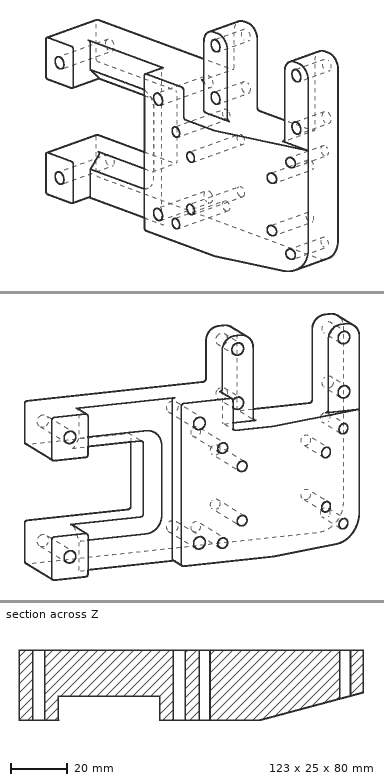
import cadquery as cq
import math


LENGTH = 123.0
BODY_HEIGHT = 60.0
DEPTH = 25.0
EDGE_RADIUS = 1.0
LOWER_CORNER_RADIUS = 10.0

ARM_HEIGHT = 16.0
SLOT_LENGTH = 41.0
SLOT_CORNER_RADIUS = 1.0
SLOT_CHAMFER = 5.0
SLOT_CHAMFER_ANGLE = 45.0

FOOT_LENGTH = 14.0
PLATE_START = 50.0
RECESS_DEPTH = 8.5
RECESS_FLOOR_Y = RECESS_DEPTH - DEPTH

SHOULDER_START = 70.0
SHOULDER_HEIGHT = 48.0
LUG_WIDTH = 12.0
LUG_DEPTH = 15.0
LUG_TOP = 80.0
LUG_RADIUS = 5.0
LUG_STARTS = (SHOULDER_START, LENGTH - LUG_WIDTH)

TAPER_ANGLE = 15.0
TAPER_LENGTH = (DEPTH - LUG_DEPTH) / math.tan(math.radians(TAPER_ANGLE))

MOUNT_HOLE_DIAMETER = 4.5
MOUNT_HOLE_INSET = 7.0
MOUNT_HOLE_PITCH_X = 50.0
MOUNT_HOLE_EDGE_Z = 8.0
LUG_HOLE_HEIGHTS = (55.0, 75.0)

SMALL_HOLE_DIAMETER = 3.8
PATTERN_CENTER = (91.0, 24.5)
PATTERN_SIZES = ((50.0, 35.0), (35.0, 20.0))


def block(x_start, x_end, z_start, z_end, y_front, y_rear=0.0):
    """Axis-aligned box between the given limits."""
    size = (x_end - x_start, y_rear - y_front, z_end - z_start)
    return cq.Workplane("XY").box(*size, centered=False).translate((x_start, y_front, z_start))


def edges_at(part, x, z, y_front, y_rear=0.0):
    """Edges parallel to Y that lie on the line (x, z) within a depth range."""
    margin = 0.01
    selector = cq.selectors.BoxSelector(
        (x - margin, y_front - margin, z - margin),
        (x + margin, y_rear + margin, z + margin),
    )
    return part.edges("|Y").edges(selector)


def make_body():
    """Full-depth body with its upper corner cut down to a shoulder and its outer corners rounded."""
    body = block(0, LENGTH, 0, BODY_HEIGHT, -DEPTH)
    body = body.cut(block(SHOULDER_START, LENGTH, SHOULDER_HEIGHT, BODY_HEIGHT, -DEPTH))
    body = edges_at(body, LENGTH, 0, -DEPTH).fillet(LOWER_CORNER_RADIUS)
    body = edges_at(body, SHOULDER_START, SHOULDER_HEIGHT, -DEPTH).fillet(EDGE_RADIUS)
    for x, z in ((0, 0), (0, BODY_HEIGHT), (SHOULDER_START, BODY_HEIGHT)):
        body = edges_at(body, x, z, -DEPTH).fillet(EDGE_RADIUS)
    return body


def cut_slot(body):
    """Open the slot between the arms."""
    slot_top = BODY_HEIGHT - ARM_HEIGHT
    body = body.cut(block(0, SLOT_LENGTH, ARM_HEIGHT, slot_top, -DEPTH))
    for z in (ARM_HEIGHT, slot_top):
        body = edges_at(body, 0, z, -DEPTH).fillet(EDGE_RADIUS)
        body = edges_at(body, SLOT_LENGTH, z, -DEPTH).fillet(SLOT_CORNER_RADIUS)
    return body


def cut_recess(body):
    """Lower the front between the feet and the plate."""
    recess = block(FOOT_LENGTH, PLATE_START, 0, BODY_HEIGHT, -DEPTH, RECESS_FLOOR_Y)
    return body.cut(recess)


def slot_flare():
    """Tapered cutter that bevels the slot rim on the recess floor, starting at the feet."""
    overrun = SLOT_LENGTH
    height = BODY_HEIGHT - 2 * ARM_HEIGHT + 2 * SLOT_CHAMFER
    length = SLOT_LENGTH + SLOT_CHAMFER + overrun
    flare = (
        cq.Workplane("XZ", origin=(-overrun + length / 2, RECESS_FLOOR_Y, BODY_HEIGHT / 2))
        .sketch()
        .rect(length, height)
        .vertices()
        .fillet(SLOT_CORNER_RADIUS + SLOT_CHAMFER)
        .finalize()
        .extrude(-SLOT_CHAMFER, taper=SLOT_CHAMFER_ANGLE)
    )
    return flare.cut(block(-overrun, FOOT_LENGTH, 0, BODY_HEIGHT, -DEPTH))


def round_recess_corners(body):
    """Round the foot and plate corners that border the recess.

    At the slot the foot corners run deeper, down to the inner end of the slot bevel.
    """
    bevel_end_y = RECESS_FLOOR_Y + SLOT_CHAMFER
    for x in (FOOT_LENGTH, PLATE_START):
        for z in (0, BODY_HEIGHT):
            body = edges_at(body, x, z, -DEPTH, RECESS_FLOOR_Y).fillet(EDGE_RADIUS)
    for z in (ARM_HEIGHT, BODY_HEIGHT - ARM_HEIGHT):
        body = edges_at(body, FOOT_LENGTH, z, -DEPTH, bevel_end_y).fillet(EDGE_RADIUS)
    return body


def make_lug(x_start):
    """Upright lug with a rounded top, seated in the shoulder."""
    lug = block(x_start, x_start + LUG_WIDTH, SHOULDER_HEIGHT - EDGE_RADIUS, LUG_TOP, -LUG_DEPTH)
    return lug.edges("|Y and >Z").fillet(LUG_RADIUS)


def lug_root(wall_x, floor_z, direction):
    """Concave root fillet in the corner of a lug wall and the floor beside it.

    The direction is the X sign pointing away from the lug. The piece reaches
    one radius below the floor so that it merges with the body.
    """
    axis_x = wall_x + direction * EDGE_RADIUS
    axis_z = floor_z + EDGE_RADIUS
    root = block(min(wall_x, axis_x), max(wall_x, axis_x), floor_z - EDGE_RADIUS, axis_z, -LUG_DEPTH)
    hollow = cq.Workplane("XZ").center(axis_x, axis_z).circle(EDGE_RADIUS).extrude(LUG_DEPTH)
    return root.cut(hollow)


def taper_cutter():
    """Wedge removed from the front to form the sloping face."""
    return (
        cq.Workplane("XY")
        .moveTo(LENGTH - TAPER_LENGTH, -DEPTH)
        .lineTo(LENGTH, -DEPTH)
        .lineTo(LENGTH, -LUG_DEPTH)
        .close()
        .extrude(LUG_TOP)
    )


def holes(points, diameter):
    """Cutters along Y through the full depth at the given (x, z) points."""
    return cq.Workplane("XZ").pushPoints(points).circle(diameter / 2).extrude(DEPTH)


def mount_hole_points():
    """Holes in the feet, in the plate and in the lugs."""
    points = []
    for x in (MOUNT_HOLE_INSET, MOUNT_HOLE_INSET + MOUNT_HOLE_PITCH_X):
        for z in (MOUNT_HOLE_EDGE_Z, BODY_HEIGHT - MOUNT_HOLE_EDGE_Z):
            points.append((x, z))
    for x_start in LUG_STARTS:
        for z in LUG_HOLE_HEIGHTS:
            points.append((x_start + LUG_WIDTH / 2, z))
    return points


def small_hole_points():
    """Corners of the two concentric hole rectangles."""
    center_x, center_z = PATTERN_CENTER
    points = []
    for width, height in PATTERN_SIZES:
        for side_x in (-0.5, 0.5):
            for side_z in (-0.5, 0.5):
                points.append((center_x + side_x * width, center_z + side_z * height))
    return points


body = cut_recess(cut_slot(make_body()))
body = round_recess_corners(body.cut(slot_flare()))
for lug_start in LUG_STARTS:
    body = body.union(make_lug(lug_start))
first_lug, last_lug = LUG_STARTS
body = body.union(lug_root(first_lug, BODY_HEIGHT, -1))
body = body.union(lug_root(first_lug + LUG_WIDTH, SHOULDER_HEIGHT, 1))
body = body.union(lug_root(last_lug, SHOULDER_HEIGHT, -1))
body = body.cut(taper_cutter())
body = body.cut(holes(mount_hole_points(), MOUNT_HOLE_DIAMETER))
result = body.cut(holes(small_hole_points(), SMALL_HOLE_DIAMETER))